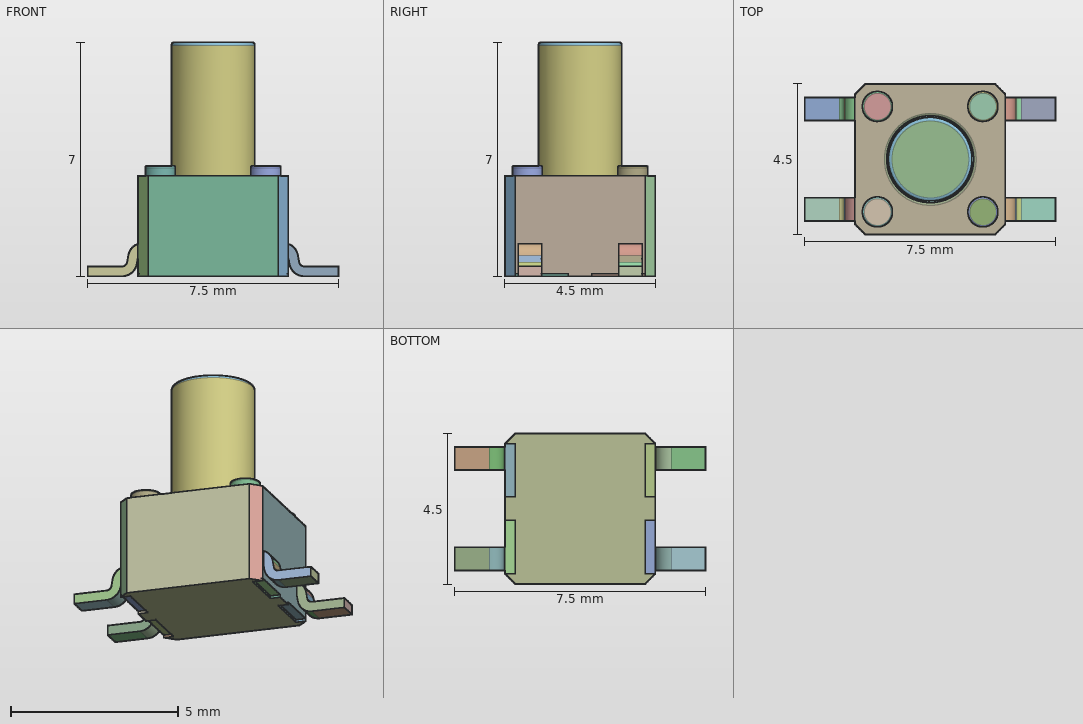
import cadquery as cq
import math

body_size = 4.5
body_height = 3.0
corner_bevel = 0.31
cover_thickness = 0.3

button_diameter = 2.5
button_top = 7.0
button_edge_radius = 0.1
opening_diameter = 2.6
opening_rim_diameter = 2.75
opening_rim_radius = (opening_rim_diameter - opening_diameter) / 2

rivet_diameter = 0.9
rivet_height = 0.3
rivet_edge_radius = 0.05
rivet_spacing = 3.15

lead_span = 7.5
lead_width = 0.7
lead_thickness = 0.3
lead_spacing = 3.0
lead_top = 1.0
lead_inner_radius = 0.15
lead_outer_radius = lead_inner_radius + lead_thickness
lead_bend = math.radians(80)
foot_length = 1.03

notch_height = 0.08
notch_depth = 0.31
notch_inner_y = 0.35
notch_outer_y = body_size / 2 - corner_bevel


def make_housing():
    block = cq.Workplane("XY").box(body_size, body_size, body_height, centered=(True, True, False))
    return block.edges("|Z").chamfer(corner_bevel)


def cut_notches(housing):
    """Cut two notches into the bottom edge of each lead side, leaving a central standing strip."""
    notch_x = (body_size - notch_depth) / 2
    notch_y = (notch_outer_y + notch_inner_y) / 2
    notches = (
        cq.Workplane("XY")
        .rect(2 * notch_x, 2 * notch_y, forConstruction=True)
        .vertices()
        .rect(notch_depth, notch_outer_y - notch_inner_y)
        .extrude(notch_height)
    )
    return housing.cut(notches)


def cut_opening(housing):
    """Cut the round opening through the cover and round its rim."""
    opening = (
        cq.Workplane("XY", origin=(0, 0, body_height - cover_thickness))
        .circle(opening_diameter / 2)
        .extrude(cover_thickness)
    )
    return housing.cut(opening).faces(">Z").edges("%CIRCLE").fillet(opening_rim_radius)


def make_button():
    base = body_height - cover_thickness
    button = cq.Workplane("XY", origin=(0, 0, base)).circle(button_diameter / 2).extrude(button_top - base)
    return button.faces(">Z").edges().fillet(button_edge_radius)


def make_rivets():
    return (
        cq.Workplane("XY", origin=(0, 0, body_height))
        .rect(rivet_spacing, rivet_spacing, forConstruction=True)
        .vertices()
        .circle(rivet_diameter / 2)
        .extrude(rivet_height)
        .faces(">Z")
        .edges()
        .fillet(rivet_edge_radius)
    )


def arc_point(center, radius, angle):
    """Point on a circle, with the angle measured from +X toward +Z."""
    return (center[0] + radius * math.cos(angle), center[1] + radius * math.sin(angle))


def make_lead(y):
    """Lead on the -X side: a flat foot, a steep riser and a bend into the housing."""
    toe_x = -lead_span / 2
    heel_x = toe_x + foot_length
    down = -math.pi / 2
    up = math.pi / 2

    bend_rise = (lead_inner_radius + lead_outer_radius) * (1 - math.cos(lead_bend))
    riser_rise = lead_top - lead_thickness - bend_rise
    riser_run = riser_rise / math.tan(lead_bend)
    bend_run = (lead_inner_radius + lead_outer_radius) * math.sin(lead_bend)
    lower_center = (heel_x, lead_outer_radius)
    upper_center = (heel_x + bend_run + riser_run, lead_top - lead_outer_radius)

    profile = (
        cq.Workplane("XZ", origin=(0, y + lead_width / 2, 0))
        .moveTo(toe_x, 0)
        .lineTo(heel_x, 0)
        .threePointArc(
            arc_point(lower_center, lead_outer_radius, down + lead_bend / 2),
            arc_point(lower_center, lead_outer_radius, down + lead_bend),
        )
        .lineTo(*arc_point(upper_center, lead_inner_radius, up + lead_bend))
        .threePointArc(
            arc_point(upper_center, lead_inner_radius, up + lead_bend / 2),
            arc_point(upper_center, lead_inner_radius, up),
        )
        .lineTo(*arc_point(upper_center, lead_outer_radius, up))
        .threePointArc(
            arc_point(upper_center, lead_outer_radius, up + lead_bend / 2),
            arc_point(upper_center, lead_outer_radius, up + lead_bend),
        )
        .lineTo(*arc_point(lower_center, lead_inner_radius, down + lead_bend))
        .threePointArc(
            arc_point(lower_center, lead_inner_radius, down + lead_bend / 2),
            arc_point(lower_center, lead_inner_radius, down),
        )
        .lineTo(toe_x, lead_thickness)
        .close()
    )
    return profile.extrude(lead_width)


result = cut_opening(cut_notches(make_housing()))
result = result.union(make_button()).union(make_rivets())
for lead_y in (-lead_spacing / 2, lead_spacing / 2):
    lead = make_lead(lead_y)
    result = result.union(lead).union(lead.mirror("YZ"))